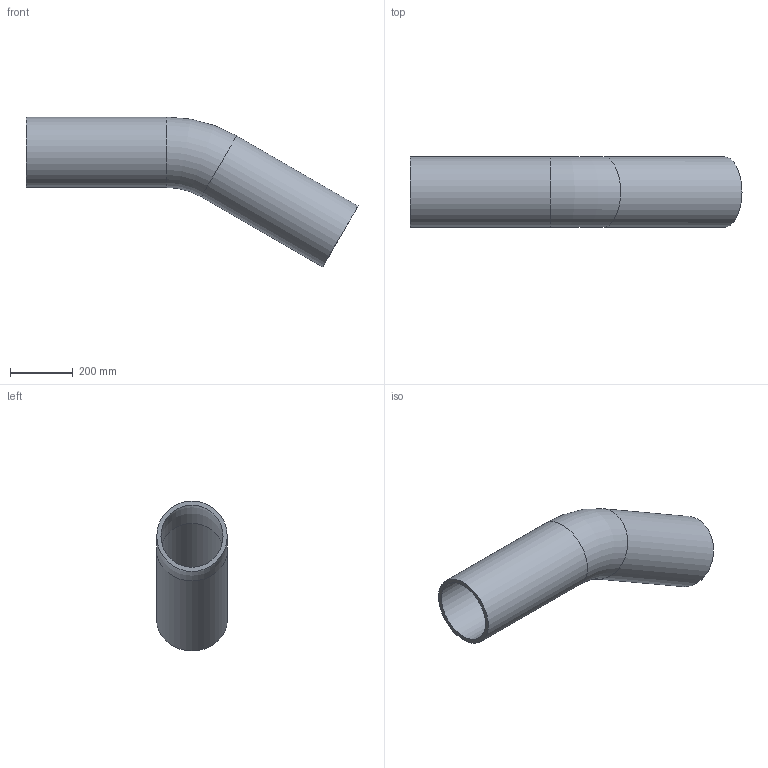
import cadquery as cq
import math

outer_diameter = 225.0
inner_diameter = 198.2

bend_angle = 30.0
leg_length = 447.79
bend_radius = 1.5 * outer_diameter

angle = math.radians(bend_angle)


def bend_point(turn):
    """Centreline point reached after turning by the given angle (radians) in the bend."""
    x = leg_length + bend_radius * math.sin(turn)
    z = -bend_radius * (1 - math.cos(turn))
    return (x, z)


bend_start = bend_point(0)
bend_middle = bend_point(angle / 2)
bend_end = bend_point(angle)
far_end = (
    bend_end[0] + leg_length * math.cos(angle),
    bend_end[1] - leg_length * math.sin(angle),
)

centreline = (
    cq.Workplane("XZ")
    .lineTo(*bend_start)
    .threePointArc(bend_middle, bend_end)
    .lineTo(*far_end)
)

result = (
    cq.Workplane("YZ")
    .circle(outer_diameter / 2)
    .circle(inner_diameter / 2)
    .sweep(centreline)
)